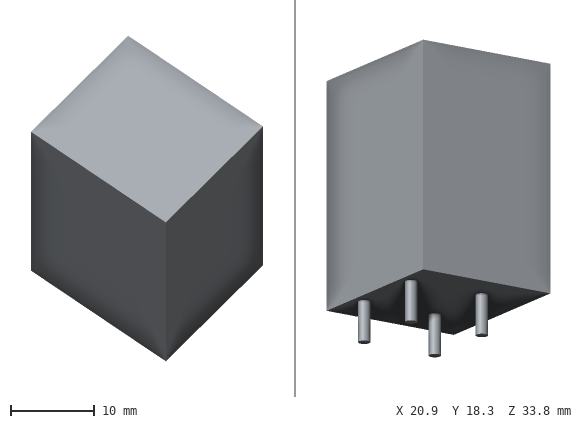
import cadquery as cq

total_height = 33.75
case_width = 20.92
case_depth = 18.3

pin_diameter = 1.5
pin_length = 5.05
pin_pitch = 10.15
grid_centre_x = -0.3
grid_centre_y = 2.43

case_height = total_height - pin_length


def make_case():
    """Plain rectangular case, standing on the plane Z = 0."""
    return cq.Workplane("XY").box(case_width, case_depth, case_height, centered=(True, True, False))


def make_pin(x, y):
    """Round pin hanging from the underside of the case."""
    return cq.Workplane("XY").center(x, y).circle(pin_diameter / 2).extrude(-pin_length)


case = make_case()

pins = []
for side_x in (-1, 1):
    for side_y in (-1, 1):
        pin_x = grid_centre_x + side_x * pin_pitch / 2
        pin_y = grid_centre_y + side_y * pin_pitch / 2
        pins.append(make_pin(pin_x, pin_y).val())

result = cq.Compound.makeCompound([case.val(), *pins])